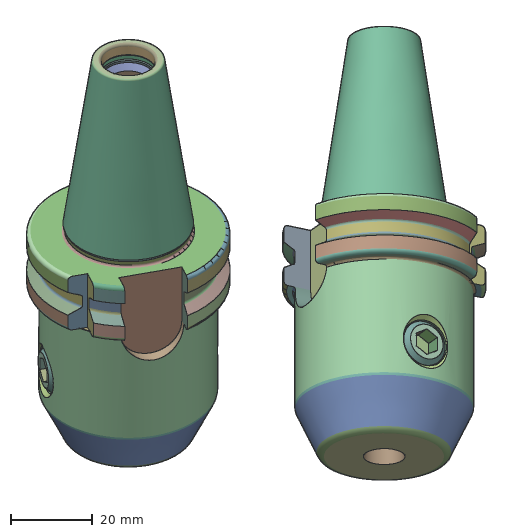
import cadquery as cq
import math

total_height = 110.8
gauge_z = 63.0
flange_top_z = 59.8
flange_bottom_z = 43.9

taper_ratio = 7 / 24
gauge_diameter = 31.8
taper_overrun = 1.0
shank_edge_fillet = 0.4
neck_diameter = 31.5
neck_cone_height = 0.7
neck_root_fillet = 0.5

flange_diameter = 50.0
flange_edge_fillet = 1.0
groove_center_z = 51.9
groove_root_diameter = 44.2
groove_mouth_width = 6.8
groove_flank_angle = 30.0
groove_root_fillet = 0.7

body_diameter = 44.0
body_root_fillet = 0.5
nose_angle = 25.0
nose_cone_height = 12.9
nose_shoulder_fillet = 1.5
nose_edge_fillet = 2.0

bore_diameter = 10.2
counterbore_diameter = 13.2
counterbore_depth = 5.4
counterbore_mouth_fillet = 0.7
ring_groove_diameter = 13.6
ring_groove_depth_from_end = 3.1
ring_groove_width = 1.8
ring_groove_flank = 0.3

slot_width = 16.1
left_slot_floor = 16.2
right_slot_floor = 18.8
notch_offset = 15.0

screw_z = 22.6
screw_hole_diameter = 12.0
screw_hole_mouth_diameter = 14.2
screw_diameter = 11.5
screw_face_diameter = 9.1
screw_face_recess = 0.2
screw_seat_recess = 8.9
socket_across_flats = 5.9
socket_depth = 4.4
recess_z = 25.2
recess_diameter = 15.5
recess_depth = 1.7

clearance = 1.1
full_turn = 360

body_radius = body_diameter / 2
flange_radius = flange_diameter / 2
flange_height = flange_top_z - flange_bottom_z


def taper_radius(z):
    return gauge_diameter / 2 - (z - gauge_z) * taper_ratio / 2


def make_shank():
    """Taper with a short relieved neck, rooted inside the flange."""
    taper_base_z = gauge_z - taper_overrun
    end_radius = taper_radius(total_height)
    neck_radius = neck_diameter / 2
    base_radius = taper_radius(taper_base_z)
    shank = (
        cq.Workplane("XZ")
        .moveTo(0, flange_bottom_z)
        .lineTo(neck_radius + neck_root_fillet, flange_bottom_z)
        .lineTo(neck_radius + neck_root_fillet, flange_top_z)
        .radiusArc((neck_radius, flange_top_z + neck_root_fillet), neck_root_fillet)
        .lineTo(neck_radius, taper_base_z - neck_cone_height)
        .lineTo(base_radius, taper_base_z)
        .lineTo(end_radius, total_height)
        .lineTo(0, total_height)
        .close()
        .revolve(full_turn, (0, 0, 0), (0, 1, 0))
    )
    return shank.faces(">Z").edges().fillet(shank_edge_fillet)


def make_flange():
    """Disc with rounded rims and a V-shaped gripper groove around it."""
    flange = (
        cq.Workplane("XY", origin=(0, 0, flange_bottom_z))
        .circle(flange_radius)
        .extrude(flange_height)
        .edges()
        .fillet(flange_edge_fillet)
    )
    root_radius = groove_root_diameter / 2
    flank_drop = (flange_radius - root_radius) * math.tan(math.radians(groove_flank_angle))
    mouth_half = groove_mouth_width / 2
    root_half = mouth_half - flank_drop
    groove = (
        cq.Workplane("XZ", origin=(0, 0, groove_center_z))
        .polyline([
            (root_radius, -root_half),
            (flange_radius, -mouth_half),
            (flange_radius + clearance, -mouth_half),
            (flange_radius + clearance, mouth_half),
            (flange_radius, mouth_half),
            (root_radius, root_half),
        ])
        .close()
        .revolve(full_turn, (0, 0, 0), (0, 1, 0))
        .edges(cq.selectors.RadiusNthSelector(0))
        .fillet(groove_root_fillet)
    )
    return flange.cut(groove)


def make_body():
    """Cylinder narrowing to a rounded conical nose."""
    nose_radius = body_radius - nose_cone_height * math.tan(math.radians(nose_angle))
    body = (
        cq.Workplane("XZ")
        .polyline([
            (0, 0),
            (nose_radius, 0),
            (body_radius, nose_cone_height),
            (body_radius, flange_bottom_z),
            (0, flange_bottom_z),
        ])
        .close()
        .revolve(full_turn, (0, 0, 0), (0, 1, 0))
    )
    shoulder = cq.selectors.BoxSelector(
        (-flange_radius, -flange_radius, nose_cone_height - clearance),
        (flange_radius, flange_radius, nose_cone_height + clearance),
    )
    body = body.edges("%CIRCLE").edges(shoulder).fillet(nose_shoulder_fillet)
    return body.faces("<Z").edges().fillet(nose_edge_fillet)


def make_body_root():
    """Concave ring blending the body into the underside of the flange."""
    return (
        cq.Workplane("XZ", origin=(0, 0, flange_bottom_z))
        .moveTo(body_radius - body_root_fillet, 0)
        .lineTo(body_radius + body_root_fillet, 0)
        .radiusArc((body_radius, -body_root_fillet), -body_root_fillet)
        .lineTo(body_radius - body_root_fillet, -body_root_fillet)
        .close()
        .revolve(full_turn, (0, 0, 0), (0, 1, 0))
    )


def make_bore():
    """Through bore with a counterbore and ring groove at the small end of the taper."""
    bore_radius = bore_diameter / 2
    counterbore_radius = counterbore_diameter / 2
    ring_radius = ring_groove_diameter / 2
    floor_z = total_height - counterbore_depth
    ring_top_z = total_height - ring_groove_depth_from_end
    ring_bottom_z = ring_top_z - ring_groove_width
    return (
        cq.Workplane("XZ")
        .polyline([
            (0, 0),
            (bore_radius, 0),
            (bore_radius, floor_z - (counterbore_radius - bore_radius)),
            (counterbore_radius, floor_z),
            (counterbore_radius, ring_bottom_z),
            (ring_radius, ring_bottom_z + ring_groove_flank),
            (ring_radius, ring_top_z - ring_groove_flank),
            (counterbore_radius, ring_top_z),
            (counterbore_radius, total_height - counterbore_mouth_fillet),
        ])
        .radiusArc((counterbore_radius + counterbore_mouth_fillet, total_height), counterbore_mouth_fillet)
        .lineTo(0, total_height)
        .close()
        .revolve(full_turn, (0, 0, 0), (0, 1, 0))
    )


def make_drive_slot(side, floor):
    """Flat-floored slot with a round lower end, open through the flange top and outer rim."""
    depth = flange_radius - floor + clearance
    round_end = (
        cq.Workplane("YZ", origin=(side * floor, 0, flange_bottom_z))
        .circle(slot_width / 2)
        .extrude(side * depth)
    )
    straight = cq.Workplane("XY").box(depth, slot_width, flange_height).translate(
        (side * (floor + depth / 2), 0, flange_bottom_z + flange_height / 2)
    )
    return straight.union(round_end)


def make_notch():
    """Square corner cut out of the flange rim at +X, -Y."""
    return (
        cq.Workplane("XY", origin=(0, 0, flange_bottom_z))
        .moveTo(notch_offset, -notch_offset)
        .lineTo(flange_radius, -notch_offset)
        .lineTo(flange_radius, -flange_radius)
        .lineTo(notch_offset, -flange_radius)
        .close()
        .extrude(flange_height)
    )


def revolve_inward(points):
    """Revolve (radius, depth below the body surface) points about the screw axis on the -Y side."""
    return (
        cq.Workplane("XY", origin=(0, -body_radius, screw_z))
        .polyline(points)
        .close()
        .revolve(full_turn, (0, 0, 0), (0, 1, 0))
    )


def make_screw_hole():
    hole_radius = screw_hole_diameter / 2
    mouth_radius = screw_hole_mouth_diameter / 2
    return revolve_inward([
        (0, -clearance),
        (mouth_radius, -clearance),
        (mouth_radius, 0),
        (hole_radius, mouth_radius - hole_radius),
        (hole_radius, screw_seat_recess),
        (0, screw_seat_recess),
    ])


def make_screw():
    """Bevelled screw filling its hole, with a hexagon socket."""
    screw_radius = screw_diameter / 2
    face_radius = screw_face_diameter / 2
    screw = revolve_inward([
        (0, screw_face_recess),
        (face_radius, screw_face_recess),
        (screw_radius, screw_face_recess + screw_radius - face_radius),
        (screw_radius, screw_seat_recess),
        (0, screw_seat_recess),
    ])
    socket = (
        cq.Workplane("XZ", origin=(0, screw_face_recess - body_radius, screw_z))
        .polygon(6, socket_across_flats, circumscribed=True)
        .extrude(-socket_depth)
    )
    return screw.cut(socket)


def make_back_recess():
    return (
        cq.Workplane("XZ", origin=(0, body_radius - recess_depth, recess_z))
        .circle(recess_diameter / 2)
        .extrude(-(recess_depth + clearance))
    )


result = make_body().union(make_body_root()).union(make_flange()).union(make_shank())
result = (
    result.cut(make_bore())
    .cut(make_drive_slot(-1, left_slot_floor))
    .cut(make_drive_slot(1, right_slot_floor))
    .cut(make_notch())
    .cut(make_back_recess())
    .cut(make_screw_hole())
    .union(make_screw())
)